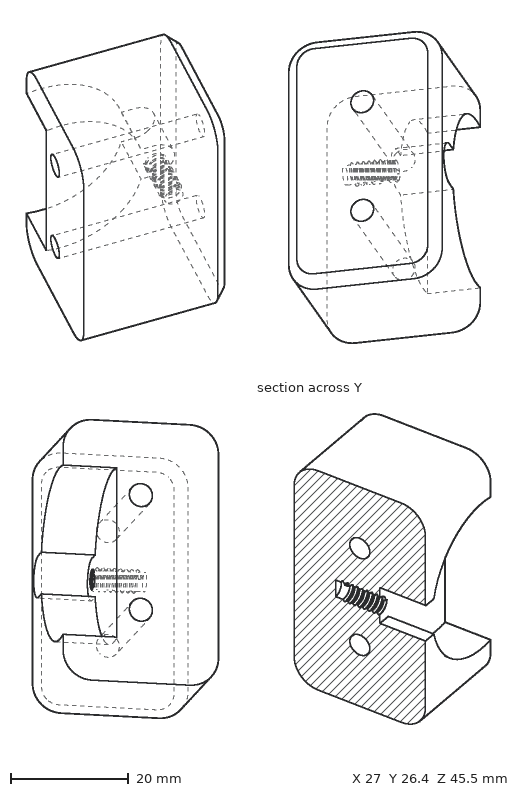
import cadquery as cq

width = 27.0
depth = 26.35
height = 45.45
corner_radius = 5.0
back_chamfer = 2.0

mount_hole_diameter = 4.0
mount_hole_spacing = 20.0

pocket_depth = 9.3
pocket_diameter = 30.0
pocket_y = 2.65
pocket_z = height / 2 - 0.25
slot_width = 7.28
slot_end_y = 19.65

thread_minor_diameter = 3.3
thread_major_diameter = 4.1
thread_pitch = 1.0
thread_groove_width = 0.85
thread_bore_overlap = 0.1
thread_hole_depth = 9.1
thread_turns = 8


def block():
    """Upright block with rounded corners and a chamfered back rim."""
    return (
        cq.Workplane("XY")
        .box(width, depth, height, centered=False)
        .edges("|Y")
        .fillet(corner_radius)
        .faces(">Y")
        .edges()
        .chamfer(back_chamfer)
    )


def mount_holes():
    """Two cutters running the full depth of the block."""
    half_spacing = mount_hole_spacing / 2
    return (
        cq.Workplane("XZ", origin=(width / 2, 0, height / 2))
        .pushPoints([(0, half_spacing), (0, -half_spacing)])
        .circle(mount_hole_diameter / 2)
        .extrude(-depth)
    )


def pocket():
    """Flat-floored cutter: circle, straight slot and round slot end."""
    plane = cq.Workplane("YZ", origin=(0, 0, pocket_z))
    circle = plane.center(pocket_y, 0).circle(pocket_diameter / 2).extrude(pocket_depth)
    slot_length = slot_end_y - pocket_y
    slot = (
        plane.center(pocket_y + slot_length / 2, 0)
        .rect(slot_length, slot_width)
        .extrude(pocket_depth)
    )
    slot_end = plane.center(slot_end_y, 0).circle(slot_width / 2).extrude(pocket_depth)
    return circle.union(slot).union(slot_end)


def threaded_hole():
    """Cylinder plus a V-shaped helical groove, built along Z and turned to run along X."""
    minor_radius = thread_minor_diameter / 2
    major_radius = thread_major_diameter / 2
    groove_mouth_radius = minor_radius - thread_bore_overlap
    bore = cq.Workplane("XY").circle(minor_radius).extrude(thread_hole_depth)
    helix = cq.Wire.makeHelix(thread_pitch, thread_pitch * thread_turns, groove_mouth_radius)
    groove = (
        cq.Workplane("XZ")
        .moveTo(groove_mouth_radius, -thread_groove_width / 2)
        .lineTo(major_radius, 0)
        .lineTo(groove_mouth_radius, thread_groove_width / 2)
        .close()
        .sweep(cq.Workplane(obj=helix), isFrenet=True)
    )
    return (
        bore.union(groove)
        .rotate((0, 0, 0), (0, 0, 1), -90)
        .rotate((0, 0, 0), (0, 1, 0), 90)
        .translate((pocket_depth, slot_end_y, pocket_z))
    )


result = block().cut(mount_holes()).cut(pocket()).cut(threaded_hole())